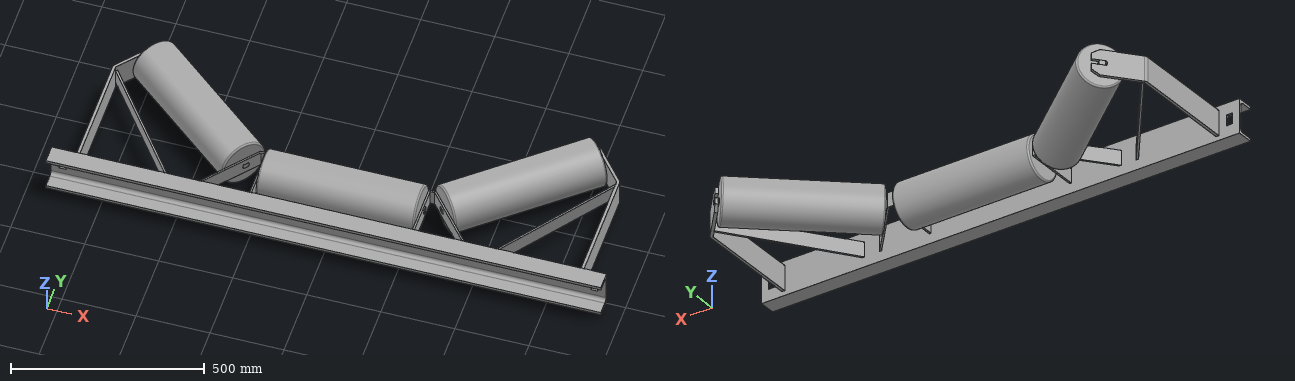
import cadquery as cq
import math


channel_length = 1500.0
channel_height = 105.0
channel_depth = 51.0
web_thickness = 6.0
flange_thickness = 9.0
root_radius = 10.0
slot_width = 18.0
slot_height = 32.0
slot_end_distance = 32.0

roller_diameter = 134.0
roller_length = 428.0
roller_edge_radius = 5.0
side_end_gap = 5.0
centre_end_gap = 3.8
shaft_diameter = 20.0
shaft_flat_width = 14.0
centre_roller_height = 168.0
trough_angle = 40.0

outer_plate_width = 76.0
inner_plate_width = 45.0
outer_plate = 9.0
inner_plate = 5.2
brace_plate = 6.0
post_face = -685.0
bend_height = 380.0
bend_radius = 15.0
arm_length = 147.0
shaft_along_arm = 118.0
tip_chamfer_length = 22.0
tip_chamfer_width = 14.0
inner_bracket_top = 220.0
brace_foot = -434.0

tilt = math.radians(trough_angle)
arm_dir = cq.Vector(math.sin(tilt), math.cos(tilt), 0)
axis_dir = cq.Vector(math.cos(tilt), -math.sin(tilt), 0)

bend = cq.Vector(post_face, bend_height, 0)
arm_tip = bend + arm_dir * arm_length
inner_bend = bend + cq.Vector(outer_plate, -outer_plate * math.tan(tilt / 2), 0)
outer_stub = outer_plate + side_end_gap
inner_stub = inner_plate + side_end_gap
centre_stub = inner_plate + centre_end_gap
side_shaft_start = bend + arm_dir * shaft_along_arm
inner_plate_point = side_shaft_start + axis_dir * (outer_stub + roller_length + side_end_gap)
centre_shaft_start = cq.Vector(-roller_length / 2 - centre_stub, centre_roller_height, 0)

side_shaft = cq.Plane(origin=side_shaft_start, xDir=arm_dir, normal=axis_dir)
centre_shaft = cq.Plane(origin=centre_shaft_start, xDir=cq.Vector(0, 1, 0), normal=cq.Vector(1, 0, 0))


def plate(points, width):
    """Plate of the given width with its edge outline in XY, centred on Z."""
    outline = [(p.x, p.y) for p in points]
    return cq.Workplane("XY").polyline(outline).close().extrude(width / 2, both=True)


def flatted_shaft(plane, start, length):
    """Round bar with two flats, lying along the normal of the plane."""
    bar = cq.Workplane(plane).workplane(offset=start).circle(shaft_diameter / 2).extrude(length)
    flats = cq.Workplane(plane).workplane(offset=start).rect(shaft_diameter, shaft_flat_width).extrude(length)
    return bar.intersect(flats)


def make_channel():
    """Channel with its web on top, a rounded root in each corner, and a slot near each end."""
    web_bottom = channel_depth - web_thickness
    inside_height = channel_height - 2 * flange_thickness
    channel = cq.Workplane("XY").box(channel_length, channel_depth, channel_height)
    channel = channel.translate((0, channel_depth / 2, 0))
    hollow = cq.Workplane("XY").box(channel_length, web_bottom, inside_height)
    hollow = hollow.translate((0, web_bottom / 2, 0)).edges("|X and >Y").fillet(root_radius)
    slot_x = channel_length / 2 - slot_end_distance
    slots = (
        cq.Workplane("XZ")
        .pushPoints([(-slot_x, 0), (slot_x, 0)])
        .rect(slot_width, slot_height)
        .extrude(-channel_depth)
    )
    return channel.cut(hollow).cut(slots)


def make_roller(shaft_plane, first_stub, last_stub):
    """Round-edged roller with a flatted shaft stub at each end, starting at the plane origin."""
    shell = cq.Workplane(shaft_plane).workplane(offset=first_stub).circle(roller_diameter / 2)
    shell = shell.extrude(roller_length).edges("%CIRCLE").fillet(roller_edge_radius)
    shaft = flatted_shaft(shaft_plane, 0, first_stub + roller_length + last_stub)
    return shell.union(shaft)


def make_outer_bracket():
    """Post bent inward into an arm; the arm tip is chamfered and has a round-ended slot for the shaft."""
    bracket = plate([
        cq.Vector(post_face, channel_depth, 0),
        bend,
        arm_tip,
        arm_tip + axis_dir * outer_plate,
        inner_bend,
        cq.Vector(inner_bend.x, channel_depth, 0),
    ], outer_plate_width)
    bracket = bracket.edges(cq.selectors.NearestToPointSelector(bend.toTuple())).fillet(bend_radius)

    tip_distance = arm_length - shaft_along_arm
    for side in (-1, 1):
        edge = side * outer_plate_width / 2
        corner = cq.Workplane(side_shaft).polyline([
            (tip_distance, edge),
            (tip_distance - tip_chamfer_length, edge),
            (tip_distance, edge - side * tip_chamfer_width),
        ])
        bracket = bracket.cut(corner.close().extrude(outer_plate))

    slot_radius = shaft_flat_width / 2
    slot_base = -math.sqrt((shaft_diameter / 2) ** 2 - slot_radius ** 2)
    slot = (
        cq.Workplane(side_shaft)
        .moveTo(tip_distance, slot_radius)
        .lineTo(slot_base, slot_radius)
        .threePointArc((slot_base - slot_radius, 0), (slot_base, -slot_radius))
        .lineTo(tip_distance, -slot_radius)
        .close()
        .extrude(outer_plate)
    )
    return bracket.cut(slot)


def make_inner_bracket():
    """Sloping leg square to the side roller, a short flat top, and an upright leg for the centre roller."""
    slope_run = math.tan(tilt)
    foot_x = inner_plate_point.x - (inner_plate_point.y - channel_depth) * slope_run
    top_x = inner_plate_point.x + (inner_bracket_top - inner_plate_point.y) * slope_run
    leg_face = -roller_length / 2 - centre_end_gap
    under_top = inner_bracket_top - inner_plate
    top_turn = math.pi / 2 - tilt
    bracket = plate([
        cq.Vector(foot_x, channel_depth, 0),
        cq.Vector(top_x, inner_bracket_top, 0),
        cq.Vector(leg_face, inner_bracket_top, 0),
        cq.Vector(leg_face, channel_depth, 0),
        cq.Vector(leg_face - inner_plate, channel_depth, 0),
        cq.Vector(leg_face - inner_plate, under_top, 0),
        cq.Vector(top_x + inner_plate * math.tan(top_turn / 2), under_top, 0),
        cq.Vector(foot_x + inner_plate / math.cos(tilt), channel_depth, 0),
    ], inner_plate_width)
    side_hole = flatted_shaft(side_shaft, outer_stub + roller_length + side_end_gap, inner_plate)
    centre_hole = flatted_shaft(centre_shaft, 0, inner_plate)
    return bracket.cut(side_hole).cut(centre_hole)


def make_brace():
    """Sloping strip from the inside of the bend down to the channel, resting against the arm."""
    drop = inner_bend.y - channel_depth
    slope = math.atan2(drop, brace_foot - inner_bend.x)
    arm_contact = brace_plate / math.sin(slope + math.pi / 2 - tilt)
    foot_contact = brace_plate / math.sin(slope)
    return plate([
        inner_bend,
        inner_bend + arm_dir * arm_contact,
        cq.Vector(brace_foot + foot_contact, channel_depth, 0),
        cq.Vector(brace_foot, channel_depth, 0),
    ], inner_plate_width)


channel = make_channel()
centre_roller = make_roller(centre_shaft, centre_stub, centre_stub)

left_bodies = [
    make_roller(side_shaft, outer_stub, inner_stub),
    make_outer_bracket(),
    make_inner_bracket(),
    make_brace(),
]
side_bodies = []
for left_body in left_bodies:
    side_bodies.append(left_body.val())
    side_bodies.append(left_body.mirror("YZ").val())

result = cq.Compound.makeCompound([channel.val(), centre_roller.val(), *side_bodies])